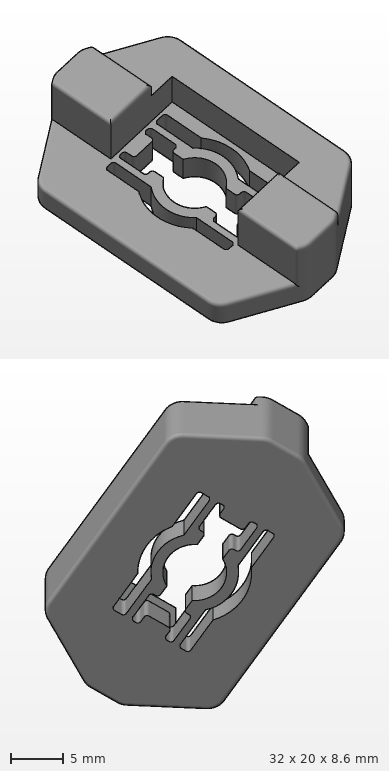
import cadquery as cq
import math

length = 32.0
width = 20.0
height = 8.6
end_flat = 4.03
flank_angle = 60.0
corner_radius = 2.0
edge_radius = 0.4

plate_height = 3.0
wall_height = 7.0
block_width = 6.0
pocket_length = 15.95
pocket_back = 6.0

cutout_length = 15.23
cutout_corner_radius = 0.35
bore_radius = 3.05
arm_inner = 2.35
arm_outer = 3.07
arm_arc_radius = 4.2
slot_arc_radius = 5.45
back_slot_outer = 4.5
front_slot_outer = 4.25
foot_span = 8.25
foot_tip = 1.45
tongue_gap = 12.67

overlap = 0.32
tolerance = 0.003
through_depth = plate_height + 2 * overlap


def centred_box(size_x, y_min, y_max, z_min, z_max):
    """Box centred on X, given by its limits in Y and Z."""
    box = cq.Workplane("XY").box(size_x, y_max - y_min, z_max - z_min, centered=(True, False, False))
    return box.translate((0, y_min, z_min))


def make_body():
    """Eight-sided prism with a low front, a raised back wall, two end blocks and a pocket."""
    flank_run = (width - end_flat) / 2 / math.tan(math.radians(flank_angle))
    side_half = length / 2 - flank_run
    outline = [
        (length / 2, end_flat / 2),
        (side_half, width / 2),
        (-side_half, width / 2),
        (-length / 2, end_flat / 2),
        (-length / 2, -end_flat / 2),
        (-side_half, -width / 2),
        (side_half, -width / 2),
        (length / 2, -end_flat / 2),
    ]
    body = cq.Workplane("XY").polyline(outline).close().extrude(height)
    body = body.edges("|Z").fillet(corner_radius)

    far = width / 2 + overlap
    top = height + overlap
    span = length + overlap
    front_step = centred_box(span, -far, -block_width / 2, plate_height, top)
    back_step = centred_box(span, block_width / 2, far, wall_height, top)
    pocket = centred_box(pocket_length, -far, pocket_back, plate_height, top)
    return body.cut(front_step).cut(back_step).cut(pocket)


def level_box(z, y_min, y_max, x_half=length):
    """Selector for the edges lying at one height within limits in X and Y."""
    return cq.selectors.BoxSelector((-x_half, y_min, z - tolerance), (x_half, y_max, z + tolerance))


def is_block_corner(edge):
    """True for an upright edge where a block side meets the outer flank."""
    centre = edge.Center()
    on_block_side = abs(abs(centre.y) - block_width / 2) < tolerance
    return on_block_side and abs(centre.x) > pocket_length / 2 + tolerance


def round_edges(body):
    """Round the bottom rim, the outer top rims and the free edges of the end blocks."""
    plate_rim = level_box(plate_height, -width, -block_width / 2 - tolerance)
    wall_edges = level_box(wall_height, block_width / 2 + tolerance, width)
    pocket_rim = level_box(wall_height, 0, pocket_back + tolerance, pocket_length / 2 + tolerance)
    chosen = (
        body.faces("<Z or >Z").edges().vals()
        + body.edges(plate_rim).vals()
        + body.edges(wall_edges - pocket_rim).vals()
        + [edge for edge in body.edges("|Z").vals() if is_block_corner(edge)]
    )
    return body.newObject(chosen).fillet(edge_radius)


def through_bar(size_x, y_min, y_max):
    """Rectangular cutting bar, centred on X, reaching through the plate."""
    return centred_box(size_x, y_min, y_max, -overlap, plate_height + overlap)


def disc(radius):
    """Round cutter on the Z axis, reaching through the plate."""
    return cq.Workplane("XY", origin=(0, 0, -overlap)).circle(radius).extrude(through_depth)


def make_slot(side, outer):
    """Slot along the outside of one spring arm; side is +1 at the back and -1 at the front."""
    y_min, y_max = sorted((side * arm_outer, side * outer))
    bar = through_bar(cutout_length, y_min, y_max).edges("|Z").fillet(cutout_corner_radius)
    bow_min, bow_max = sorted((side * arm_outer, side * width / 2))
    outer_side = through_bar(length, bow_min, bow_max)
    bow = disc(slot_arc_radius).intersect(outer_side)
    return bar.union(bow).cut(disc(arm_arc_radius))


def make_bore():
    """Opening between the spring arms, with a round bore, four corner recesses and two end tongues."""
    x_end = cutout_length / 2
    x_tongue = tongue_gap / 2
    x_foot = foot_span / 2
    outline = [
        (x_tongue, foot_tip),
        (x_end, foot_tip),
        (x_end, arm_inner),
        (x_foot, arm_inner),
        (x_foot, foot_tip),
    ]
    outline += [(-x, y) for x, y in reversed(outline)]
    outline += [(x, -y) for x, y in reversed(outline)]
    opening = (
        cq.Workplane("XY", origin=(0, 0, -overlap))
        .polyline(outline)
        .close()
        .extrude(through_depth)
        .edges("|Z")
        .fillet(cutout_corner_radius)
    )
    return opening.union(disc(bore_radius))


result = (
    round_edges(make_body())
    .cut(make_slot(1, back_slot_outer))
    .cut(make_slot(-1, front_slot_outer))
    .cut(make_bore())
)